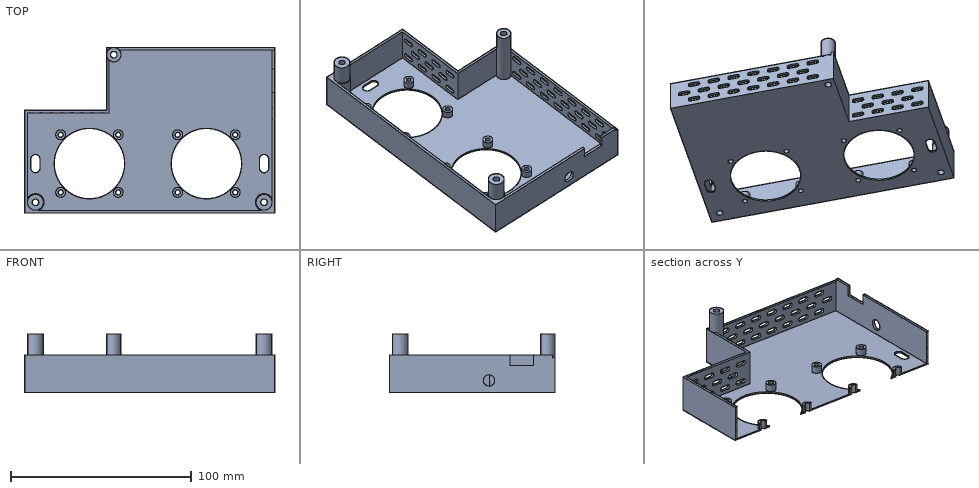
import cadquery as cq

length = 139.0
width = 92.0
wall_height = 21.0
overall_height = 32.7
wall = 1.5
floor = 1.0
step_x = 45.5
step_y = 57.2
back_wall_drop = 1.5

front_post_inset = 6.0
front_post_radius = 4.4
corner_block_radius = 4.8
back_post_inset = 4.0
back_post_radius = back_post_inset
post_hole_diameter = 3.5

fan_pitch = 65.0
fan_opening_diameter = 39.0
fan_y = 27.5
fan_mount_pitch = 32.0
boss_diameter = 5.5
boss_height = 4.0
boss_hole_diameter = 2.7
first_fan_x = 36.0
fan_centers = [(first_fan_x + i * fan_pitch, fan_y) for i in range(2)]

floor_slot_length = 10.0
floor_slot_width = 5.0

vent_length = 6.5
vent_height = 2.6
vent_pitch = 11.35
vent_row_pitch = 5.7
vent_middle_z = 10.1
long_vent_start_x = 57.4
long_vent_count = 7
short_vent_start_x = 6.35
short_vent_count = 4

notch_start_y = 67.0
notch_length = 13.0
notch_depth = 6.0
cable_hole_y = 55.3
cable_hole_z = 6.85
cable_hole_diameter = 6.3

front_posts = [(front_post_inset, front_post_inset), (length - front_post_inset, front_post_inset)]
back_post = (step_x + back_post_inset, width - back_post_inset)


def outline():
    """L-shaped outer footprint."""
    return (
        cq.Workplane("XY")
        .moveTo(0, 0)
        .lineTo(length, 0)
        .lineTo(length, width)
        .lineTo(step_x, width)
        .lineTo(step_x, step_y)
        .lineTo(0, step_y)
        .close()
    )


def tray():
    """Floor with a constant-thickness wall around it."""
    cavity = outline().offset2D(-wall, "intersection").extrude(wall_height).translate((0, 0, floor))
    return outline().extrude(wall_height).cut(cavity)


def back_wall_relief():
    """Strip off the top of the long back wall, from the step wall to the right face."""
    start_x = step_x + wall
    strip = cq.Workplane("XY").box(length - start_x, wall, back_wall_drop, centered=False)
    return strip.translate((start_x, width - wall, wall_height - back_wall_drop))


def cylinders(points, diameter, height):
    """Upright cylinders of equal size at the given points."""
    return cq.Workplane("XY").pushPoints(points).circle(diameter / 2).extrude(height)


def corner_block(post):
    """Wall-high fill between a front post and its tray corner, rounded around the post."""
    x, y = post
    corner_x = 0 if x < length / 2 else length
    square = cq.Workplane("XY").rect(abs(x - corner_x), y).extrude(wall_height)
    square = square.translate(((x + corner_x) / 2, y / 2, 0))
    return cylinders([post], 2 * corner_block_radius, wall_height).union(square)


def vents(outer_y, start_x, count, middle_count):
    """Three slot rows through the wall with outer face at outer_y, the middle row shifted half a pitch."""
    rows = [
        (vent_middle_z - vent_row_pitch, start_x, count),
        (vent_middle_z, start_x + vent_pitch / 2, middle_count),
        (vent_middle_z + vent_row_pitch, start_x, count),
    ]
    points = [(x0 + i * vent_pitch, z) for z, x0, n in rows for i in range(n)]
    return (
        cq.Workplane("XZ", origin=(0, outer_y, 0))
        .pushPoints(points)
        .slot2D(vent_length, vent_height)
        .extrude(wall)
    )


def right_wall_openings():
    """Open-topped notch and round cable hole through the right wall."""
    notch = cq.Workplane("XY").box(wall, notch_length, notch_depth, centered=False)
    notch = notch.translate((length - wall, notch_start_y, wall_height - notch_depth))
    hole = (
        cq.Workplane("YZ", origin=(length - wall, 0, 0))
        .center(cable_hole_y, cable_hole_z)
        .circle(cable_hole_diameter / 2)
        .extrude(wall)
    )
    return notch.union(hole)


def floor_slots():
    """Slots through the floor, in line with the front posts and the fans."""
    points = [(x, fan_y) for x, _ in front_posts]
    return cq.Workplane("XY").pushPoints(points).slot2D(floor_slot_length, floor_slot_width, 90).extrude(floor)


half_mount = fan_mount_pitch / 2
boss_points = [
    (x + sx * half_mount, y + sy * half_mount)
    for x, y in fan_centers
    for sx in (-1, 1)
    for sy in (-1, 1)
]

body = tray().cut(back_wall_relief())
for post in front_posts:
    body = body.union(corner_block(post))
body = body.union(cylinders(front_posts, 2 * front_post_radius, overall_height))
body = body.union(cylinders([back_post], 2 * back_post_radius, overall_height))
body = body.union(cylinders(boss_points, boss_diameter, floor + boss_height))

body = body.cut(cylinders(front_posts + [back_post], post_hole_diameter, overall_height))
body = body.cut(cylinders(boss_points, boss_hole_diameter, floor + boss_height))
body = body.cut(cylinders(fan_centers, fan_opening_diameter, floor))
body = body.cut(floor_slots())
body = body.cut(right_wall_openings())
body = body.cut(vents(width, long_vent_start_x, long_vent_count, long_vent_count))
result = body.cut(vents(step_y, short_vent_start_x, short_vent_count, short_vent_count - 1))